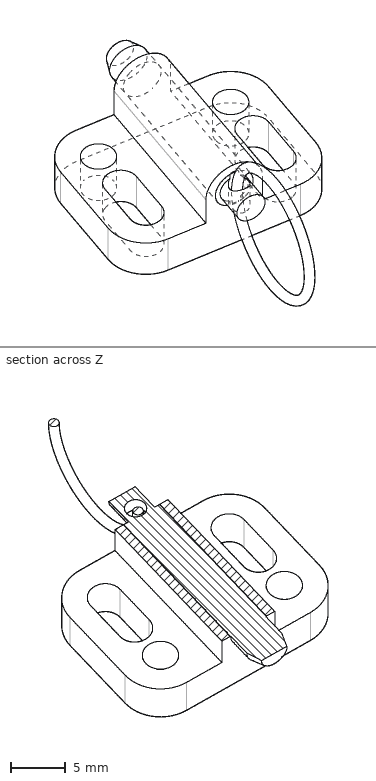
import cadquery as cq

plate_length = 16.5
plate_width = 22.0
plate_height = 4.0
plate_corner_radius = 4.0
barrel_radius = 3.0

opening_diameter = 3.3
opening_edge_distance = 4.0
opening_offset_y = 7.0
slot_center_spacing = 4.5

pin_diameter = 4.0
pin_tip_diameter = 2.9
pin_taper_length = 1.52
pin_front_projection = 4.0
tail_diameter = 3.0
tail_length = 3.0
ring_hole_diameter = 2.0
ring_hole_setback = 0.9

ring_outer_diameter = 14.0
ring_wire_diameter = 1.0

plate_front_x = pin_front_projection
plate_rear_x = plate_front_x + plate_length
plate_center_x = plate_front_x + plate_length / 2
front_opening_x = plate_front_x + opening_edge_distance
rear_opening_x = plate_rear_x - opening_edge_distance
slot_center_x = rear_opening_x - slot_center_spacing / 2
pin_axis_z = ring_outer_diameter / 2
ring_hole_x = plate_rear_x + ring_hole_setback
ring_center_x = plate_rear_x + ring_outer_diameter / 2


def make_housing():
    """Rounded plate and barrel in one piece, with the pin bore and mounting openings."""
    plate = (
        cq.Workplane("XY")
        .center(plate_center_x, 0)
        .rect(plate_length, plate_width)
        .extrude(plate_height)
        .edges("|Z")
        .fillet(plate_corner_radius)
    )
    barrel = (
        cq.Workplane("YZ", origin=(plate_front_x, 0, 0))
        .moveTo(-barrel_radius, 0)
        .lineTo(barrel_radius, 0)
        .lineTo(barrel_radius, pin_axis_z)
        .threePointArc((0, pin_axis_z + barrel_radius), (-barrel_radius, pin_axis_z))
        .close()
        .extrude(plate_length)
    )
    bore = (
        cq.Workplane("YZ", origin=(plate_front_x, 0, pin_axis_z))
        .circle(pin_diameter / 2)
        .extrude(plate_length)
    )
    side_offsets = (-opening_offset_y, opening_offset_y)
    holes = (
        cq.Workplane("XY")
        .pushPoints([(front_opening_x, y) for y in side_offsets])
        .circle(opening_diameter / 2)
        .extrude(plate_height)
    )
    slots = (
        cq.Workplane("XY")
        .pushPoints([(slot_center_x, y) for y in side_offsets])
        .slot2D(slot_center_spacing + opening_diameter, opening_diameter)
        .extrude(plate_height)
    )
    return plate.union(barrel).cut(bore).cut(holes).cut(slots)


def make_pin():
    """Pin with a tapered tip and a thinner tail that is cross-drilled for the ring."""
    tail_end_x = plate_rear_x + tail_length
    half_profile = (
        cq.Workplane("XZ")
        .moveTo(0, 0)
        .lineTo(0, pin_tip_diameter / 2)
        .lineTo(pin_taper_length, pin_diameter / 2)
        .lineTo(plate_rear_x, pin_diameter / 2)
        .lineTo(plate_rear_x, tail_diameter / 2)
        .lineTo(tail_end_x, tail_diameter / 2)
        .lineTo(tail_end_x, 0)
        .close()
    )
    pin = half_profile.revolve(360, (0, 0, 0), (1, 0, 0)).translate((0, 0, pin_axis_z))
    ring_hole = (
        cq.Workplane("XY", origin=(ring_hole_x, 0, pin_axis_z))
        .circle(ring_hole_diameter / 2)
        .extrude(pin_diameter / 2, both=True)
    )
    return pin.cut(ring_hole)


def make_ring():
    """Closed round-wire ring, upright in the XZ plane and threaded through the tail."""
    wire_radius = ring_wire_diameter / 2
    center_radius = ring_outer_diameter / 2 - wire_radius
    ring = cq.Solid.makeTorus(
        center_radius,
        wire_radius,
        cq.Vector(ring_center_x, 0, pin_axis_z),
        cq.Vector(0, 1, 0),
    )
    return cq.Workplane(obj=ring)


housing = make_housing()
pin = make_pin()
ring = make_ring()

result = cq.Compound.makeCompound([housing.solids().val(), pin.solids().val(), ring.val()])